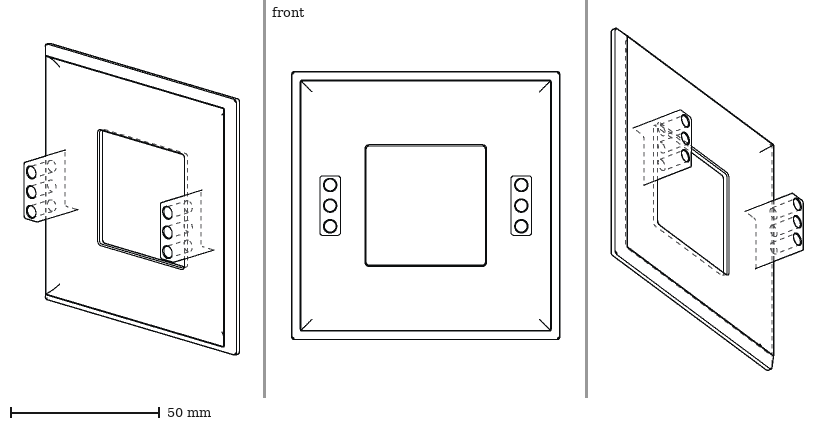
import cadquery as cq
import math

plate_size = 90.2
plate_thickness = 5.0
total_depth = 22.0
front_chamfer = 2.9
edge_radius = 1.0

floor_thickness = 2.0
rim_width = 0.3
cove_radius = 5.0

window_size = 40.05
window_corner_radius = 1.0
window_chamfer = 0.45

post_width = 6.95
post_height = 20.0
post_spacing = 64.3
post_tip_radius = 0.2
post_foot_radius = 0.5

holes_per_post = 3
hole_pitch = 6.95
hole_diameter = 4.0
hole_depth = 9.9
hole_chamfer = 0.3

selection_margin = 0.1

back_y = 0.0
floor_y = -floor_thickness
rim_y = -plate_thickness
tip_y = -total_depth


def block(size_x, size_z, y_from, y_to):
    """Block centred on the Y axis, spanning y_from (front) to y_to (back)."""
    return cq.Workplane("XY").box(size_x, y_to - y_from, size_z).translate((0, (y_from + y_to) / 2, 0))


def make_plate():
    """Plate with bevelled front, rounded corners and a rounded back edge."""
    plate = block(plate_size, plate_size, rim_y, back_y)
    plate = plate.faces("<Y").chamfer(front_chamfer)
    plate = plate.edges("not(#Y)").fillet(edge_radius)
    return plate.faces(">Y").edges().fillet(edge_radius)


def cove_prism():
    """Prism along Z with the recess cross-section: flat floor and an arc on each side."""
    recess_depth = plate_thickness - floor_thickness
    opening_half = plate_size / 2 - front_chamfer - rim_width
    sweep = math.acos(1 - recess_depth / cove_radius)
    floor_half = opening_half - cove_radius * math.sin(sweep)
    mid_x = floor_half + cove_radius * math.sin(sweep / 2)
    mid_y = floor_y - cove_radius * (1 - math.cos(sweep / 2))
    return (
        cq.Workplane("XY")
        .moveTo(-floor_half, floor_y)
        .lineTo(floor_half, floor_y)
        .threePointArc((mid_x, mid_y), (opening_half, rim_y))
        .lineTo(-opening_half, rim_y)
        .threePointArc((-mid_x, mid_y), (-floor_half, floor_y))
        .close()
        .extrude(plate_size / 2, both=True)
    )


def make_recess():
    """Two crossed prisms share a square recess whose coves meet in mitred corners."""
    upright = cove_prism()
    level = upright.rotate((0, 0, 0), (0, 1, 0), 90)
    return upright.intersect(level)


def make_window():
    opening = block(window_size, window_size, floor_y, back_y)
    return opening.edges("|Y").fillet(window_corner_radius)


def make_post():
    """Rounded post with a row of countersunk blind holes in its tip."""
    post = block(post_width, post_height, tip_y, floor_y)
    post = post.edges("|Y").fillet(edge_radius)
    post = post.faces("<Y").edges().fillet(post_tip_radius)
    return (
        post.faces("<Y")
        .workplane(centerOption="CenterOfBoundBox")
        .rarray(hole_pitch, hole_pitch, 1, holes_per_post)
        .cskHole(hole_diameter, hole_diameter + 2 * hole_chamfer, 90, hole_depth)
    )


def floor_edges(center_x, size_x, size_z):
    """Selector for the edges on the recess floor around a feature of the given size."""
    half_x = size_x / 2 + selection_margin
    half_z = size_z / 2 + selection_margin
    return cq.selectors.BoxSelector(
        (center_x - half_x, floor_y - selection_margin, -half_z),
        (center_x + half_x, floor_y + selection_margin, half_z),
    )


result = make_plate().cut(make_recess()).cut(make_window())
result = result.edges(floor_edges(0, window_size, window_size)).chamfer(window_chamfer)

for side in (-1, 1):
    post_x = side * post_spacing / 2
    result = result.union(make_post().translate((post_x, 0, 0)))
    result = result.edges(floor_edges(post_x, post_width, post_height)).fillet(post_foot_radius)